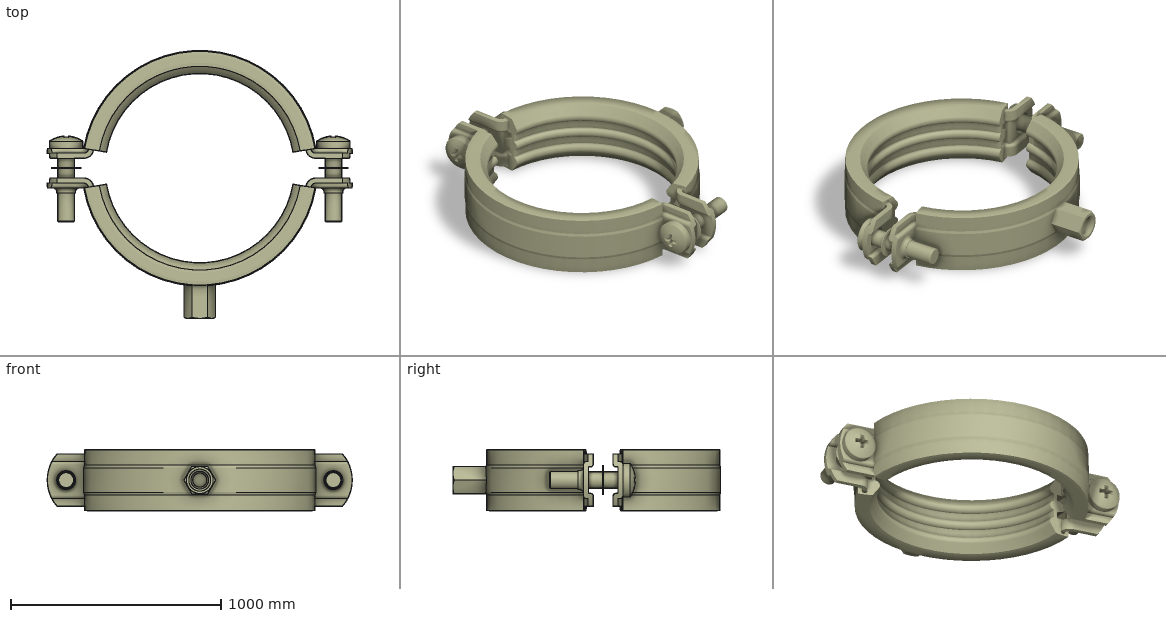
import cadquery as cq
import math


band_radius = 560.0
sheet = 25.0
joggle = 23.0
liner_radius = 555.0
height = 292.0
ridge_flat = 58.0
ridge_foot = 71.0
lip_bevel = 15.0
rim_drop = 1.0
rim_inner_radius = 500.0
rim_bevel = 16.0

bead_radius = 450.0
groove_radius = 472.0
bead_half_width = 23.0
side_bead_start = 64.0
side_bead_tip = 91.0
side_bead_end = 105.0
side_bead_end_radius = 455.0

pocket_half_height = 62.0
pocket_inner_radius = 489.0
rib_half_root = 32.0
rib_half_tip = 15.0
bulb_radius = 15.0

flange_height = 95.0
flange_tip = 725.0
flange_end_radius = 189.0
flange_half_width = 125.0
seat_half_width = 73.0
seat_round = 16.0
edge_plate_round = 15.0
screw_x = 635.0
screw_hole_diameter = 105.0

shank_diameter = 80.0
shank_end = -255.0
tip_chamfer = 5.0
head_diameter = 160.0
head_side_height = 33.0
head_edge_bevel = 3.0
dome_height = 23.0
washer_diameter = 140.0
washer_thickness = 5.0
recess_top_length = 74.0
recess_floor_length = 33.0
recess_arm_width = 20.0
recess_depth = 46.0

collar_diameter = 90.0
collar_root_diameter = 125.0
collar_flare_height = 19.0
collar_height = 25.0

boss_end = -715.0
boss_root = -544.0
boss_flats = 130.0
boss_end_diameter = 128.0
boss_chamfer_angle = 30.0
bore_diameter = 84.0
bore_mouth_diameter = 105.0
bore_floor_diameter = 67.0
bore_depth = 145.0

end_angle = math.degrees(math.asin(flange_height / band_radius))
bend_x = band_radius * math.cos(math.radians(end_angle))
bend_angle = 90 - end_angle
half_height = height / 2
plate_top = flange_height - joggle
plate_bottom = plate_top - sheet
seat_underside = flange_height - sheet
seat_foot = seat_half_width + seat_round
bow = math.sqrt(0.5)
pocket_radius = band_radius - sheet
band_edge_radius = band_radius - joggle - sheet / 2


def revolve_about_y_axis(profile):
    """Revolve a closed XY profile a full turn about Y."""
    return profile.close().revolve(360, (0, 0, 0), (0, 1, 0))


def sweep_half_turn(profile):
    """Revolve a closed XZ profile about Z from one ring end to the other, on the +Y side."""
    swept = profile.revolve(180 - 2 * end_angle, (0, 0, 0), (0, 1, 0))
    return swept.rotate((0, 0, 0), (0, 0, 1), end_angle)


def half_ring():
    section = (
        cq.Workplane("XZ")
        .moveTo(band_radius, -ridge_flat)
        .lineTo(band_radius, ridge_flat)
        .lineTo(liner_radius, ridge_foot)
        .lineTo(liner_radius, half_height - rim_drop)
        .lineTo(liner_radius - lip_bevel, half_height)
        .lineTo(rim_inner_radius, half_height)
        .lineTo(rim_inner_radius - rim_bevel, half_height - rim_drop)
        .lineTo(side_bead_end_radius, side_bead_end)
        .threePointArc((bead_radius, side_bead_tip), (groove_radius, side_bead_start))
        .lineTo(groove_radius, bead_half_width)
        .threePointArc((bead_radius, 0), (groove_radius, -bead_half_width))
        .lineTo(groove_radius, -side_bead_start)
        .threePointArc((bead_radius, -side_bead_tip), (side_bead_end_radius, -side_bead_end))
        .lineTo(rim_inner_radius - rim_bevel, rim_drop - half_height)
        .lineTo(rim_inner_radius, -half_height)
        .lineTo(liner_radius - lip_bevel, -half_height)
        .lineTo(liner_radius, rim_drop - half_height)
        .lineTo(liner_radius, -ridge_foot)
        .close()
    )
    ring = sweep_half_turn(section)
    for side in (-1, 1):
        pocket = cq.Workplane("XZ").polyline([
            (pocket_inner_radius, side * rib_half_root),
            (pocket_radius, side * rib_half_tip),
            (pocket_radius, side * pocket_half_height),
            (pocket_inner_radius, side * pocket_half_height),
        ]).close()
        ring = ring.cut(sweep_half_turn(pocket))
        bulb = (
            cq.Workplane("XZ")
            .moveTo(band_edge_radius - bulb_radius, side * flange_half_width)
            .threePointArc(
                (band_edge_radius, side * (flange_half_width + bulb_radius)),
                (band_edge_radius + bulb_radius, side * flange_half_width),
            )
            .close()
        )
        ring = ring.cut(sweep_half_turn(bulb))
    return ring


def seat_bar(length):
    """Raised middle of the flange with rounded long edges, running along X from the bend."""
    seat_edge = flange_height - seat_round
    rounding_mid = (seat_edge + seat_round * bow, seat_half_width + seat_round * bow)
    return (
        cq.Workplane("YZ", origin=(bend_x, 0, 0))
        .moveTo(flange_height, 0)
        .lineTo(flange_height, seat_half_width)
        .threePointArc(rounding_mid, (seat_edge, seat_foot))
        .lineTo(seat_underside, seat_foot)
        .lineTo(seat_underside, 0)
        .mirrorX()
        .extrude(length)
    )


def edge_plate_section():
    """YZ section of the upper edge plate, its inner edge rounded."""
    round_z = pocket_half_height + edge_plate_round
    round_y = plate_bottom + edge_plate_round
    rounding_mid = (round_y - edge_plate_round * bow, round_z - edge_plate_round * bow)
    return (
        cq.Workplane("YZ", origin=(bend_x, 0, 0))
        .moveTo(plate_top, pocket_half_height)
        .lineTo(plate_top, flange_half_width)
        .lineTo(plate_bottom, flange_half_width)
        .lineTo(plate_bottom, round_z)
        .threePointArc(rounding_mid, (round_y, pocket_half_height))
        .close()
    )


def flange():
    """Joggled flange on the +X end of the +Y half: a raised seat between two bent edge plates."""
    length = flange_tip - bend_x
    rounded_end = (
        cq.Workplane("XZ", origin=(flange_tip - flange_end_radius, 0, 0))
        .circle(flange_end_radius)
        .extrude(-flange_height)
    )
    edge_plate = edge_plate_section().extrude(length)
    plate = seat_bar(length).union(edge_plate).union(edge_plate.mirror("XY"))
    bend = edge_plate_section().revolve(
        bend_angle, (flange_height, 0, 0), (flange_height, -1, 0)
    )
    corner = seat_bar(-sheet)
    return plate.intersect(rounded_end).union(corner).union(bend).union(bend.mirror("XY"))


def plain_half():
    """Half ring with a flange at each end, on the +Y side."""
    lug = flange()
    return half_ring().union(lug).union(lug.mirror("YZ"))


def screw():
    """Screw along Y with a domed head on the upper flange and a thin washer at mid gap."""
    shank_radius = shank_diameter / 2
    head_radius = head_diameter / 2
    washer_radius = washer_diameter / 2
    head_side_top = flange_height + head_side_height
    dome_base = head_side_top + head_edge_bevel
    head_top = dome_base + dome_height
    dome_edge = head_radius - head_edge_bevel
    dome_radius = (dome_edge**2 + dome_height**2) / (2 * dome_height)
    dome_mid_radius = dome_edge / 2
    dome_mid_y = head_top - dome_radius + math.sqrt(dome_radius**2 - dome_mid_radius**2)
    body = revolve_about_y_axis(
        cq.Workplane("XY")
        .moveTo(0, shank_end)
        .lineTo(shank_radius - tip_chamfer, shank_end)
        .lineTo(shank_radius, shank_end + tip_chamfer)
        .lineTo(shank_radius, -washer_thickness / 2)
        .lineTo(washer_radius, -washer_thickness / 2)
        .lineTo(washer_radius, washer_thickness / 2)
        .lineTo(shank_radius, washer_thickness / 2)
        .lineTo(shank_radius, flange_height)
        .lineTo(head_radius, flange_height)
        .lineTo(head_radius, head_side_top)
        .lineTo(dome_edge, dome_base)
        .threePointArc((dome_mid_radius, dome_mid_y), (0, head_top))
    )
    recess_floor = head_top - recess_depth
    arm = (
        cq.Workplane("XY")
        .polyline([
            (-recess_top_length / 2, head_top),
            (recess_top_length / 2, head_top),
            (recess_floor_length / 2, recess_floor),
            (-recess_floor_length / 2, recess_floor),
        ])
        .close()
        .extrude(recess_arm_width / 2, both=True)
    )
    cross_arm = arm.rotate((0, 0, 0), (0, 1, 0), 90)
    return body.cut(arm).cut(cross_arm)


def collar():
    """Drawn collar below the lower flange, flaring into its seat."""
    radius = collar_diameter / 2
    root_radius = collar_root_diameter / 2
    flare_end = -flange_height - collar_flare_height
    flare_mid = (
        root_radius - (root_radius - radius) * bow,
        flare_end + collar_flare_height * bow,
    )
    return revolve_about_y_axis(
        cq.Workplane("XY")
        .moveTo(0, -flange_height)
        .lineTo(root_radius, -flange_height)
        .threePointArc(flare_mid, (radius, flare_end))
        .lineTo(radius, -flange_height - collar_height)
        .lineTo(0, -flange_height - collar_height)
    )


def hex_boss():
    """Hexagonal boss with a chamfered end, pointing to -Y."""
    corner_diameter = boss_flats / math.cos(math.radians(30))
    corner_radius = corner_diameter / 2
    end_radius = boss_end_diameter / 2
    chamfer_length = (corner_radius - end_radius) * math.tan(math.radians(boss_chamfer_angle))
    prism = (
        cq.Workplane("XZ", origin=(0, boss_root, 0))
        .polygon(6, corner_diameter)
        .extrude(boss_root - boss_end)
    )
    envelope = revolve_about_y_axis(
        cq.Workplane("XY")
        .moveTo(0, boss_root)
        .lineTo(corner_radius, boss_root)
        .lineTo(corner_radius, boss_end + chamfer_length)
        .lineTo(end_radius, boss_end)
        .lineTo(0, boss_end)
    )
    return prism.intersect(envelope)


def boss_bore():
    """Blind bore of the boss, countersunk at the mouth and tapered at the floor."""
    mouth_radius = bore_mouth_diameter / 2
    radius = bore_diameter / 2
    floor_radius = bore_floor_diameter / 2
    floor = boss_end + bore_depth
    return revolve_about_y_axis(
        cq.Workplane("XY")
        .moveTo(0, boss_end)
        .lineTo(mouth_radius, boss_end)
        .lineTo(radius, boss_end + mouth_radius - radius)
        .lineTo(radius, floor - (radius - floor_radius))
        .lineTo(floor_radius, floor)
        .lineTo(0, floor)
    )


def upper_half():
    half = plain_half()
    hole = cq.Workplane("XZ").circle(screw_hole_diameter / 2).extrude(-flange_height)
    for x in (-screw_x, screw_x):
        half = half.cut(hole.translate((x, 0, 0)))
    return half


def lower_half():
    """Lower half with its boss and the two screws held in its collars."""
    half = plain_half().mirror("XZ").union(hex_boss()).cut(boss_bore())
    for x in (-screw_x, screw_x):
        half = half.union(collar().translate((x, 0, 0)))
        half = half.union(screw().translate((x, 0, 0)))
    return half


upper_clamp = upper_half()
lower_clamp = lower_half()
result = cq.Compound.makeCompound([upper_clamp.solids().val(), lower_clamp.solids().val()])